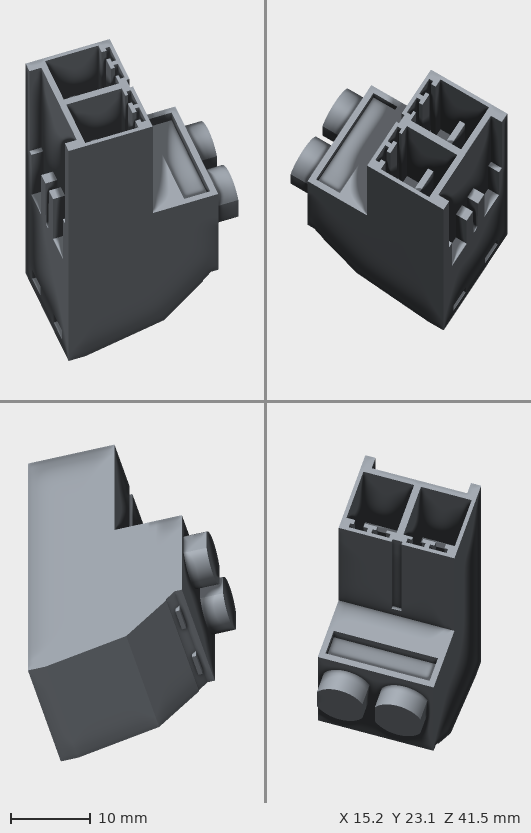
import cadquery as cq


pole_pitch = 7.62
poles = 2
width = poles * pole_pitch
height = 41.45
shell_back = 11.3
body_back = 20.1
step_z = 24.35
ledge_z = 9.41
slope_top_y = 19.15
slope_jog_y = 18.05
slope_jog_top = 8.22
slope_jog_bottom = 7.98
slope_corner_y = 12.84
slope_corner_z = 2.58
foot_y = 2.3
pole_centers = [(i - (poles - 1) / 2) * pole_pitch for i in range(poles)]

socket_inner = 0.45
socket_outer = 7.12
socket_front = 2.41
socket_floor = step_z
inner_shoulder_y = 9.84
outer_shoulder_y = 9.57

key_neck_width = 1.3
key_head_width = 2.35
key_neck_centers = (2.36, 5.32)
key_head_offset = -0.06
key_head_front = 10.24
key_head_back = 10.82
key_divider_y = 9.7
key_draft = 0.25

guide_depth = 1.6
guide_half_width = 6.28
guide_bottom = 25.7
pocket_inner = 2.1
pocket_outer = 5.6
pocket_bottom = 17.85
slot_half_width_top = 0.62
slot_end_radius = 0.47

window_width = 3.0
window_bottom = 1.6
window_height = 1.75
window_depth = 0.6
notch_width = 1.3
notch_depth = 0.4
step_recess_width = 13.7
step_recess_front = 15.8
step_recess_back = 19.3
step_recess_depth = 1.5

tab_width = window_width
tab_height = 1.09
tab_length = 0.55

button_diameter = 6.8
button_width = 6.0
button_length = 3.0
button_z = 19.36
blade_width = 4.5
blade_thickness = 0.8
blade_y = 5.65
blade_length = 10.0


def box(x_range, y_range, z_range):
    """Block spanning the given ranges along X, Y and Z."""
    (x0, x1), (y0, y1), (z0, z1) = x_range, y_range, z_range
    return cq.Workplane("XY").box(x1 - x0, y1 - y0, z1 - z0, centered=False).translate((x0, y0, z0))


def centered_range(center, size):
    return (center - size / 2, center + size / 2)


def both_sides(shape):
    """The shape together with its mirror image across the middle plane."""
    return shape.union(shape.mirror("YZ"))


def housing_blank():
    profile = [
        (0, 0),
        (0, height),
        (shell_back, height),
        (shell_back, step_z),
        (body_back, step_z),
        (body_back, ledge_z),
        (slope_top_y, ledge_z),
        (slope_jog_y, slope_jog_top),
        (slope_jog_y, slope_jog_bottom),
        (slope_corner_y, slope_corner_z),
        (foot_y, 0),
    ]
    return cq.Workplane("YZ").polyline(profile).close().extrude(width / 2, both=True)


def key_slot(neck_center):
    """T-shaped slot whose back wall leans forward towards the socket floor."""
    neck = box(
        centered_range(neck_center, key_neck_width),
        (outer_shoulder_y, key_head_back - key_draft),
        (socket_floor, height),
    )
    head_profile = [
        (key_head_front, socket_floor),
        (key_head_front, height),
        (key_head_back, height),
        (key_head_back - key_draft, socket_floor),
    ]
    head_start = neck_center + key_head_offset - key_head_width / 2
    head = (
        cq.Workplane("YZ", origin=(head_start, 0, 0))
        .polyline(head_profile)
        .close()
        .extrude(key_head_width)
    )
    return neck.union(head)


def socket():
    """Socket of the +X pole: its back edge steps between the key slots."""
    inner_key, outer_key = key_neck_centers
    neck_half = key_neck_width / 2
    socket_z = (socket_floor, height)
    cavity = box((socket_inner, inner_key + neck_half), (socket_front, inner_shoulder_y), socket_z)
    middle = box((inner_key + neck_half, outer_key + neck_half), (socket_front, key_divider_y), socket_z)
    outer = box((outer_key + neck_half, socket_outer), (socket_front, outer_shoulder_y), socket_z)
    cavity = cavity.union(middle).union(outer)
    for center in key_neck_centers:
        cavity = cavity.union(key_slot(center))
    return cavity


def front_guides():
    """Shallow guide, two deeper pockets and a tapered, round-ended middle slot."""
    depth = (0, guide_depth)
    guide = box((-guide_half_width, guide_half_width), depth, (guide_bottom, height))
    pocket = box((pocket_inner, pocket_outer), depth, (pocket_bottom, guide_bottom))
    slot_end_z = pocket_bottom + slot_end_radius
    slot = (
        cq.Workplane("XZ")
        .moveTo(-slot_half_width_top, guide_bottom)
        .lineTo(-slot_end_radius, slot_end_z)
        .threePointArc((0, pocket_bottom), (slot_end_radius, slot_end_z))
        .lineTo(slot_half_width_top, guide_bottom)
        .close()
        .extrude(-guide_depth)
    )
    return guide.union(both_sides(pocket)).union(slot)


def window(center):
    return box(
        centered_range(center, window_width),
        (0, window_depth),
        (window_bottom, window_bottom + window_height),
    )


def back_notch():
    return box(
        centered_range(0, notch_width),
        (shell_back - notch_depth, shell_back),
        (guide_bottom, height),
    )


def step_recess():
    return box(
        centered_range(0, step_recess_width),
        (step_recess_front, step_recess_back),
        (step_z - step_recess_depth, step_z),
    )


def ledge_tab(center):
    """Tab hanging below the ledge, rooted in the sloped face."""
    return box(
        centered_range(center, tab_width),
        (slope_top_y - tab_length, slope_top_y),
        (ledge_z - tab_height, ledge_z),
    )


def make_housing():
    body = housing_blank()
    body = body.cut(both_sides(socket()))
    body = body.cut(front_guides()).cut(back_notch()).cut(step_recess())
    for center in pole_centers:
        body = body.cut(window(center)).union(ledge_tab(center))
    return body


def make_button(center):
    """Round button with two flat sides, seated on the back face."""
    flats = box(
        centered_range(0, button_width),
        (body_back, body_back + button_length),
        centered_range(button_z, button_diameter),
    )
    button = (
        cq.Workplane("XZ", origin=(0, body_back, button_z))
        .circle(button_diameter / 2)
        .extrude(-button_length)
        .intersect(flats)
    )
    return button.translate((center, 0, 0))


def make_blade(side):
    """Flat contact blade standing in the middle of the socket on the given side, -1 or 1."""
    center = side * (socket_inner + socket_outer) / 2
    return box(
        centered_range(center, blade_width),
        centered_range(blade_y, blade_thickness),
        (socket_floor, socket_floor + blade_length),
    )


housing = make_housing()
buttons = [make_button(center) for center in pole_centers]
blades = [make_blade(side) for side in (-1, 1)]

bodies = [housing, *buttons, *blades]
result = cq.Compound.makeCompound([body.solids().val() for body in bodies])